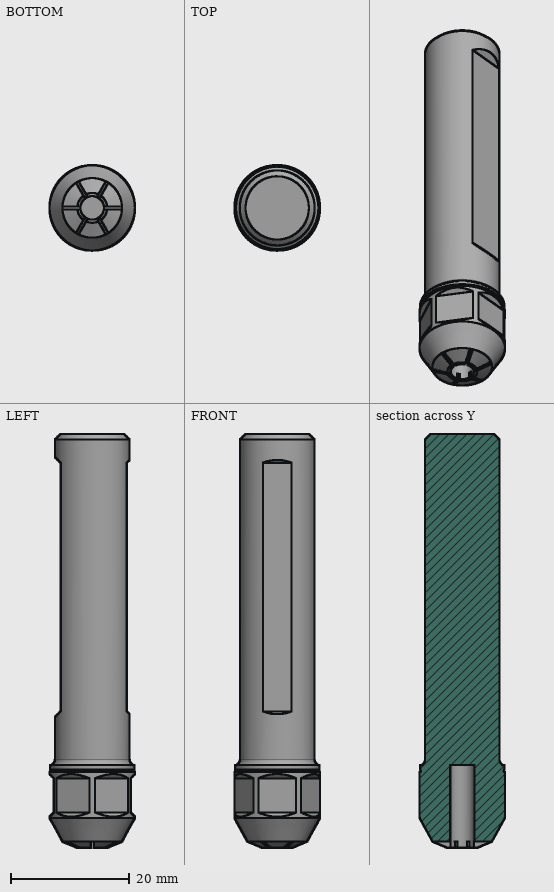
import cadquery as cq
import math

total_length = 70.0

shank_diameter = 12.7
shank_radius = shank_diameter / 2
end_chamfer = 1.0

flat_bottom = 23.1
flat_top = 65.1
front_flat_depth = 0.5
rear_flat_depth = 1.0

nut_diameter = 14.5
nut_radius = nut_diameter / 2

collar_diameter = 14.35
collar_radius = collar_diameter / 2
collar_top = 14.0
collar_ledge = 0.2
neck_fillet_height = 1.0

nut_cone_top = 5.05
nut_cone_bottom = 1.05
nut_cone_bottom_radius = 5.05

groove_bottom = 12.8
groove_top = 13.2
groove_depth = 0.2

wrench_flat_count = 6
wrench_flat_distance = 6.5
wrench_flat_bottom = 6.0
wrench_flat_top = 11.75

tip_radius = 2.5
bore_diameter = 4.0
bore_depth = collar_top
slot_count = 3
slot_width = 0.5
slot_depth = nut_cone_bottom


def revolved_body():
    """Shank, neck fillet, collar, groove, nut and tip as one turned shape."""
    neck_step = collar_radius - collar_ledge - shank_radius
    neck_arc_radius = (neck_step**2 + neck_fillet_height**2) / (2 * neck_step)
    half_sweep = math.atan2(neck_step, neck_fillet_height)
    neck_top = collar_top + neck_fillet_height
    neck_middle = (
        shank_radius + neck_arc_radius * (1 - math.cos(half_sweep)),
        neck_top - neck_arc_radius * math.sin(half_sweep),
    )
    groove_radius = nut_radius - groove_depth
    return (
        cq.Workplane("XZ")
        .moveTo(0, 0)
        .lineTo(tip_radius, 0)
        .lineTo(nut_cone_bottom_radius, nut_cone_bottom)
        .lineTo(nut_radius, nut_cone_top)
        .lineTo(nut_radius, groove_bottom)
        .lineTo(groove_radius, (groove_bottom + groove_top) / 2)
        .lineTo(collar_radius, groove_top)
        .lineTo(collar_radius, collar_top)
        .lineTo(collar_radius - collar_ledge, collar_top)
        .threePointArc(neck_middle, (shank_radius, neck_top))
        .lineTo(shank_radius, total_length - end_chamfer)
        .lineTo(shank_radius - end_chamfer, total_length)
        .lineTo(0, total_length)
        .close()
        .revolve(360, (0, 0), (0, 1))
    )


def flat_cutter(floor_distance, bottom, top, outer_radius):
    """Cutter for a flat facing -Y whose two ends rise outward at 45 degrees to the given outer radius."""
    rise = outer_radius - floor_distance
    return (
        cq.Workplane("YZ")
        .moveTo(-floor_distance, bottom)
        .lineTo(-floor_distance, top)
        .lineTo(-outer_radius, top + rise)
        .lineTo(-outer_radius, bottom - rise)
        .close()
        .extrude(outer_radius, both=True)
    )


def turned(shape, angle):
    """Shape rotated about the part axis."""
    return shape.rotate((0, 0, 0), (0, 0, 1), angle)


result = revolved_body()

front_flat = flat_cutter(shank_radius - front_flat_depth, flat_bottom, flat_top, shank_radius)
rear_flat = flat_cutter(shank_radius - rear_flat_depth, flat_bottom, flat_top, shank_radius)
result = result.cut(front_flat).cut(turned(rear_flat, 180))

wrench_flat = flat_cutter(wrench_flat_distance, wrench_flat_bottom, wrench_flat_top, nut_radius)
for index in range(wrench_flat_count):
    result = result.cut(turned(wrench_flat, index * 360 / wrench_flat_count))

slot = cq.Workplane("XY").box(nut_diameter, slot_width, slot_depth, centered=(True, True, False))
for index in range(slot_count):
    result = result.cut(turned(slot, index * 180 / slot_count))

bore = cq.Workplane("XY").circle(bore_diameter / 2).extrude(bore_depth)
result = result.cut(bore)